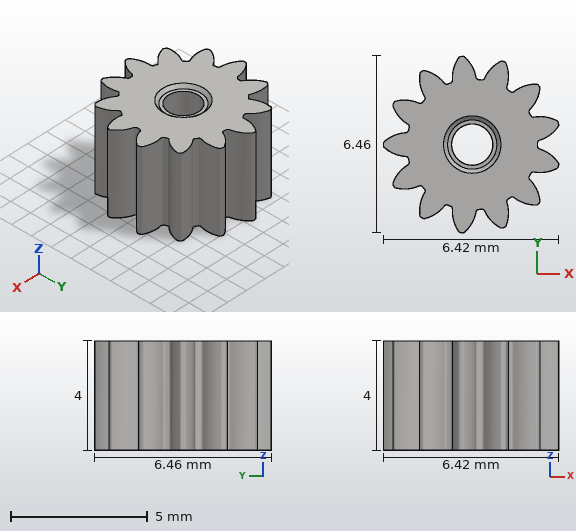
import cadquery as cq
import math

TOOTH_COUNT = 13
FACE_WIDTH = 4.0
TIP_RADIUS = 3.25
ROOT_RADIUS = 2.39
MID_RADIUS = (TIP_RADIUS + ROOT_RADIUS) / 2

FLANK_RADIUS = 1.31
FLANK_CENTER_RADIUS = 2.50
FLANK_CENTER_ANGLE = 20.3

TIP_FILLET = 0.10
ROOT_FILLET = 0.10

BORE_DIAMETER = 1.5
RECESS_TOP_DIAMETER = 2.1
RECESS_FLOOR_DIAMETER = 1.8
RECESS_DEPTH = (RECESS_TOP_DIAMETER - RECESS_FLOOR_DIAMETER) / 2

TOOTH_PITCH = 360.0 / TOOTH_COUNT
FIRST_TOOTH_ANGLE = 180.0


def polar(radius, angle):
    """Point at a radius and an angle in degrees about the gear axis."""
    return (radius * math.cos(math.radians(angle)), radius * math.sin(math.radians(angle)))


def flank_half_angle(radius):
    """Angle in degrees from the tooth centreline to the flank at a given radius."""
    cosine = (radius**2 + FLANK_CENTER_RADIUS**2 - FLANK_RADIUS**2) / (2 * radius * FLANK_CENTER_RADIUS)
    return math.degrees(math.acos(cosine)) - FLANK_CENTER_ANGLE


def gear_blank():
    """Toothed prism with sharp tooth tips and roots."""
    root_half = flank_half_angle(ROOT_RADIUS)
    mid_half = flank_half_angle(MID_RADIUS)
    tip_half = flank_half_angle(TIP_RADIUS)

    outline = cq.Workplane("XY").moveTo(*polar(ROOT_RADIUS, FIRST_TOOTH_ANGLE - root_half))
    for tooth in range(TOOTH_COUNT):
        center = FIRST_TOOTH_ANGLE + tooth * TOOTH_PITCH
        gap_center = center + TOOTH_PITCH / 2
        next_root = center + TOOTH_PITCH - root_half
        outline = (
            outline
            .threePointArc(polar(MID_RADIUS, center - mid_half), polar(TIP_RADIUS, center - tip_half))
            .threePointArc(polar(TIP_RADIUS, center), polar(TIP_RADIUS, center + tip_half))
            .threePointArc(polar(MID_RADIUS, center + mid_half), polar(ROOT_RADIUS, center + root_half))
            .threePointArc(polar(ROOT_RADIUS, gap_center), polar(ROOT_RADIUS, next_root))
        )
    return outline.close().extrude(FACE_WIDTH)


def round_teeth(gear):
    """Fillet the lengthwise edges at the tooth tips and roots."""
    def is_tip(edge):
        return math.hypot(edge.Center().x, edge.Center().y) > MID_RADIUS

    def is_root(edge):
        return not is_tip(edge)

    gear = gear.edges("|Z").filter(is_tip).fillet(TIP_FILLET)
    return gear.edges("|Z").filter(is_root).fillet(ROOT_FILLET)


def bore_cutter():
    """Through bore plus the conical recess in the top face, as one revolved solid."""
    recess_floor = FACE_WIDTH - RECESS_DEPTH
    return (
        cq.Workplane("XZ")
        .moveTo(0, 0)
        .lineTo(BORE_DIAMETER / 2, 0)
        .lineTo(BORE_DIAMETER / 2, recess_floor)
        .lineTo(RECESS_FLOOR_DIAMETER / 2, recess_floor)
        .lineTo(RECESS_TOP_DIAMETER / 2, FACE_WIDTH)
        .lineTo(0, FACE_WIDTH)
        .close()
        .revolve(360, (0, 0), (0, 1))
    )


result = round_teeth(gear_blank()).cut(bore_cutter())